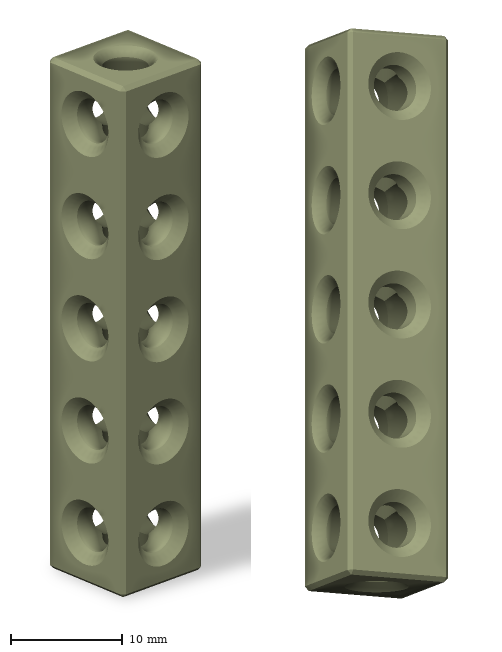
import cadquery as cq

cell = 10.0
cell_count = 5
length = cell * cell_count
edge_chamfer = 0.4

hole_diameter = 4.2
side_sink_diameter = 6.2
end_sink_diameter = 5.8


def countersunk_hole(center, direction, span, sink_diameter):
    """Through hole of the given span about center, countersunk at both ends."""
    axis = cq.Vector(*direction)
    middle = cq.Vector(*center)
    start = middle - axis * (span / 2)
    end = middle + axis * (span / 2)
    hole_radius = hole_diameter / 2
    sink_radius = sink_diameter / 2
    sink_depth = sink_radius - hole_radius
    bore = cq.Solid.makeCylinder(hole_radius, span, start, axis)
    start_sink = cq.Solid.makeCone(sink_radius, hole_radius, sink_depth, start, axis)
    end_sink = cq.Solid.makeCone(sink_radius, hole_radius, sink_depth, end, axis * -1)
    return bore.fuse(start_sink, end_sink)


result = cq.Workplane("XY").box(cell, cell, length).edges().chamfer(edge_chamfer)

long_hole = countersunk_hole((0, 0, 0), (0, 0, 1), length, end_sink_diameter)
result = result.cut(cq.Workplane(long_hole))

for index in range(cell_count):
    height = (index + 0.5) * cell - length / 2
    for direction in ((1, 0, 0), (0, 1, 0)):
        side_hole = countersunk_hole((0, 0, height), direction, cell, side_sink_diameter)
        result = result.cut(cq.Workplane(side_hole))